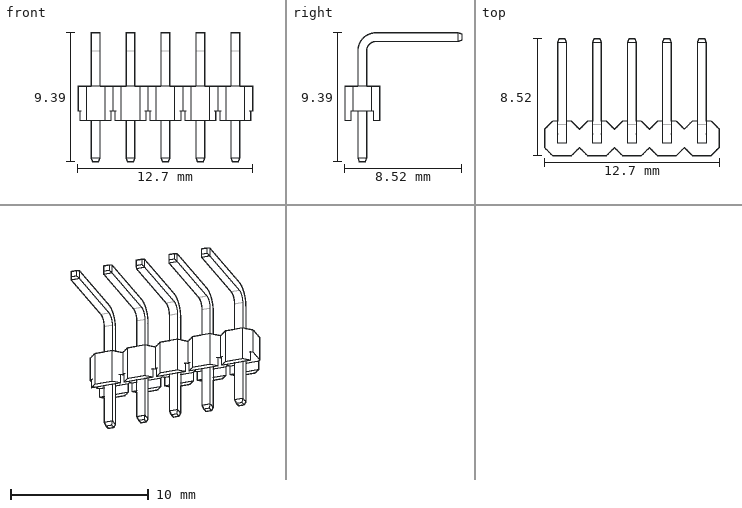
import cadquery as cq
import math


pin_count = 5
length = 12.7
pitch = length / pin_count
overall_height = 9.39
overall_depth = 8.52

cell_depth = pitch
cell_chamfer = 0.6
housing_height = 2.5
housing_bottom = 3.0
channel_width = 1.63
channel_height = 0.69

pin_size = 0.65
bend_outer_radius = 1.32
bend_inner_radius = bend_outer_radius - pin_size
tip_length = 0.28
tip_inset = 0.1
tip_taper = math.degrees(math.atan(tip_inset / tip_length))
pin_reach = overall_depth - cell_depth / 2

pin_positions = [(i - (pin_count - 1) / 2) * pitch for i in range(pin_count)]


def make_cell(x):
    """One octagonal housing cell."""
    return (
        cq.Workplane("XY")
        .box(pitch, cell_depth, housing_height, centered=(True, True, False))
        .edges("|Z")
        .chamfer(cell_chamfer)
        .translate((x, 0, housing_bottom))
    )


def make_channel():
    """Channel along the whole underside of the housing."""
    return (
        cq.Workplane("XY")
        .box(length, channel_width, channel_height, centered=(True, True, False))
        .translate((0, 0, housing_bottom))
    )


def make_pin(x):
    """Square pin bent through a right angle toward +Y, with both tips tapered."""
    half = pin_size / 2
    bend_y = bend_outer_radius - half
    bend_z = overall_height - bend_outer_radius
    diagonal = math.sqrt(0.5)
    shank_end = pin_reach - tip_length

    shank = (
        cq.Workplane("YZ")
        .moveTo(-half, tip_length)
        .lineTo(-half, bend_z)
        .threePointArc(
            (bend_y - bend_outer_radius * diagonal, bend_z + bend_outer_radius * diagonal),
            (bend_y, overall_height),
        )
        .lineTo(shank_end, overall_height)
        .lineTo(shank_end, overall_height - pin_size)
        .lineTo(bend_y, overall_height - pin_size)
        .threePointArc(
            (bend_y - bend_inner_radius * diagonal, bend_z + bend_inner_radius * diagonal),
            (half, bend_z),
        )
        .lineTo(half, tip_length)
        .close()
        .extrude(half, both=True)
    )

    pin = shank
    for end_face in ("<Z", ">Y"):
        tip = (
            shank.faces(end_face)
            .workplane(centerOption="CenterOfMass")
            .rect(pin_size, pin_size)
            .extrude(tip_length, combine=False, taper=tip_taper)
        )
        pin = pin.union(tip)
    return pin.translate((x, 0, 0))


housing = make_cell(pin_positions[0])
for x in pin_positions[1:]:
    housing = housing.union(make_cell(x))

result = housing.cut(make_channel())
for x in pin_positions:
    result = result.union(make_pin(x))